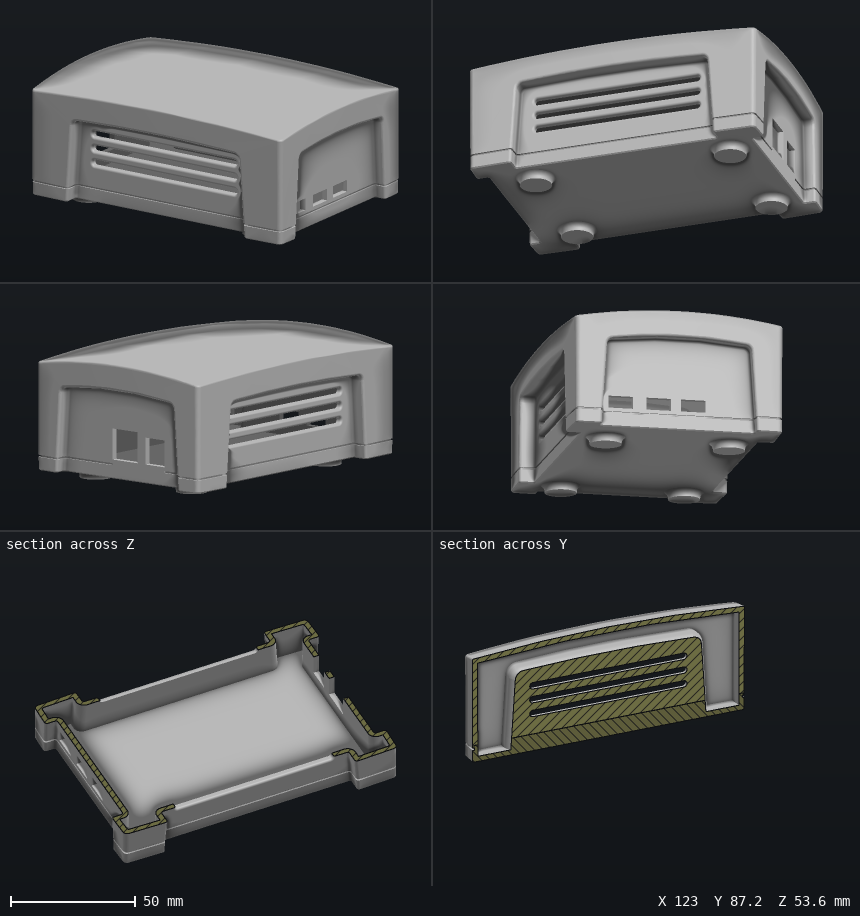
import cadquery as cq
import math

length = 123.0
width = 87.2
top_z = 50.5
wall = 2.5
side_bow_x = 0.7
side_bow_y = 1.0
wall_lean = 0.2
corner_radius = 1.8
least_corner_radius = 0.6
roof_drop_x = 2.7
roof_drop_y = 4.0
roof_edge_radius = 1.0
bottom_edge_radius = 0.5

rim_z = 5.4
seam_gap = 0.9
seam_z = rim_z + seam_gap
lip_height = 1.8
lip_setback = 0.7
floor_thickness = wall

long_panel_depth = 6.9
short_panel_depth = 5.4
panel_corner_radius = 2.7
panel_edge_radius = 1.1
panel_root_radius = 1.0
long_panel_bottom = 85.6
long_panel_top = 80.7
long_panel_mid_z = 35.9
long_panel_rise = 1.2
short_panel_bottom = 63.7
short_panel_top = 59.0
short_panel_mid_z = 37.1
short_panel_rise = 2.1

slot_length = 72.2
slot_outer = 4.7
slot_inner = 2.6
slot_pitch = 6.0
slot_count = 3
lowest_slot_z = 16.4

sill_z = 7.7
port_spans = [(-6.4, 6.6, 20.4), (-20.7, -10.7, 18.7)]
window_width = 10.1
window_top_z = 12.7
window_starts = [-28.2, -12.5, 1.7]

foot_height = 3.1
foot_diameter = 12.9
foot_flare_width = 1.6
foot_flare_height = 2.6
foot_xs = [-44.3, 38.1]
foot_ys = [-25.3, 25.3]

margin = 1.2
long_floor = width / 2 - wall_lean - long_panel_depth
short_floor = length / 2 - wall_lean - short_panel_depth


def drafted_block(inset, start_z):
    """Bowed rectangular block with leaning walls, moved in from the outer walls by inset."""
    lean_at_start = wall_lean * (1 - start_z / top_z)
    half_x = length / 2 - lean_at_start - inset
    half_y = width / 2 - lean_at_start - inset
    corner_x = half_x - side_bow_x
    corner_y = half_y - side_bow_y
    lean_angle = math.degrees(math.atan(wall_lean / top_z))
    outline = (
        cq.Sketch()
        .arc((-corner_x, -corner_y), (0, -half_y), (corner_x, -corner_y))
        .arc((corner_x, -corner_y), (half_x, 0), (corner_x, corner_y))
        .arc((corner_x, corner_y), (0, half_y), (-corner_x, corner_y))
        .arc((-corner_x, corner_y), (-half_x, 0), (-corner_x, -corner_y))
        .assemble()
        .vertices()
        .fillet(max(corner_radius - inset, least_corner_radius))
    )
    block = cq.Workplane("XY", origin=(0, 0, start_z)).placeSketch(outline)
    return block.extrude(top_z + margin - start_z, taper=-lean_angle)


def roof_barrel(peak_z):
    """Barrel whose upper surface is the domed roof, curved along both X and Y."""
    radius_x = ((length / 2) ** 2 + roof_drop_x ** 2) / (2 * roof_drop_x)
    axis_z = peak_z - radius_x
    edge_z = peak_z - roof_drop_y
    half_y = width / 2
    return (
        cq.Workplane("YZ")
        .moveTo(-half_y, axis_z)
        .lineTo(-half_y, edge_z)
        .threePointArc((0, peak_z), (half_y, edge_z))
        .lineTo(half_y, axis_z)
        .close()
        .revolve(360, (0, axis_z), (1, axis_z))
    )


def panel_cut(bottom, top, mid_z, rise, floor, depth, grow):
    """Cutter for a panel on the -Y side, enlarged all round by grow."""
    below = 6.1
    overshoot = 3.7
    slope = (bottom - top) / 2 / mid_z
    half_low = bottom / 2 + slope * below
    profile = (
        cq.Sketch()
        .segment((-half_low, -below), (half_low, -below))
        .segment((top / 2, mid_z - rise))
        .arc((0, mid_z), (-top / 2, mid_z - rise))
        .close()
        .assemble()
        .vertices(">Y")
        .fillet(panel_corner_radius + grow)
    )
    cutter = cq.Workplane("XZ", origin=(0, -floor + grow, 0)).placeSketch(profile)
    cutter = cutter.extrude(depth + overshoot + grow)
    return cutter.faces(">Y").edges().fillet(panel_root_radius + grow)


def panel_cuts(grow):
    """Cutters for the recessed panels of all four sides."""
    long_cut = panel_cut(
        long_panel_bottom + 2 * grow, long_panel_top + 2 * grow, long_panel_mid_z + grow,
        long_panel_rise, long_floor, long_panel_depth, grow,
    )
    short_cut = panel_cut(
        short_panel_bottom + 2 * grow, short_panel_top + 2 * grow, short_panel_mid_z + grow,
        short_panel_rise, short_floor, short_panel_depth, grow,
    )
    cuts = []
    for turn in (0, 180):
        cuts.append(long_cut.rotate((0, 0, 0), (0, 0, 1), turn))
        cuts.append(short_cut.rotate((0, 0, 0), (0, 0, 1), turn - 90))
    return cuts


def cut_panels(body, grow):
    """Recess the panels of all four sides into a body."""
    for cut in panel_cuts(grow):
        body = body.cut(cut)
    return body


def round_panel_edges(body):
    """Round the outer rim of all four recessed panels."""
    near_wall = 0.7
    clearance = 3.7
    long_near = long_floor + near_wall * long_panel_depth
    short_near = short_floor + near_wall * short_panel_depth
    reach_x = long_panel_bottom / 2 + clearance
    reach_y = short_panel_bottom / 2 + clearance
    high_z = short_panel_mid_z + clearance
    for side in (-1, 1):
        long_rim = cq.selectors.BoxSelector(
            (-reach_x, side * long_near, -margin), (reach_x, side * width, high_z)
        )
        body = body.edges(long_rim).fillet(panel_edge_radius)
        short_rim = cq.selectors.BoxSelector(
            (side * short_near, -reach_y, -margin), (side * length, reach_y, high_z)
        )
        body = body.edges(short_rim).fillet(panel_edge_radius)
    return body


def outer_shape():
    """Outside of the closed enclosure, without slots, openings or feet."""
    body = drafted_block(0, 0).intersect(roof_barrel(top_z))
    body = body.faces(">Z").edges().fillet(roof_edge_radius)
    body = round_panel_edges(cut_panels(body, 0))
    return body.faces("<Z").edges().chamfer(bottom_edge_radius)


def inner_shape(inset, start_z):
    """Inside of the enclosure, following the outside at the distance inset."""
    body = drafted_block(inset, start_z).intersect(roof_barrel(top_z - inset))
    return cut_panels(body, inset)


def slab(low_z, high_z):
    """Block larger than the enclosure in plan, between two heights."""
    return cq.Workplane("XY", origin=(0, 0, low_z)).rect(2 * length, 2 * width).extrude(high_z - low_z)


def wall_block(side, y_from, y_to, low_z, high_z):
    """Block through the wall of the -X panel (side = -1) or the +X panel (side = 1)."""
    inner_x = side * (short_floor - wall)
    block = cq.Workplane("XY").box(wall, y_to - y_from, high_z - low_z, centered=False)
    return block.translate((min(inner_x, inner_x + side * wall), y_from, low_z))


def cut_slots(cover, side):
    """Cut the ventilation slots, with rounded outer rims, in the -Y (side = -1) or +Y (side = 1) panel."""
    rim_radius = (slot_outer - slot_inner) / 2
    inner_length = slot_length - 2 * rim_radius
    centres = [(0, lowest_slot_z + index * slot_pitch) for index in range(slot_count)]
    slots = (
        cq.Workplane("XZ", origin=(0, side * long_floor, 0))
        .pushPoints(centres)
        .slot2D(inner_length, slot_inner)
        .extrude(wall + margin, both=True)
    )
    flatness = 0.1
    rims = cq.selectors.BoxSelector(
        (-slot_length / 2, side * long_floor - flatness, lowest_slot_z - slot_outer),
        (slot_length / 2, side * long_floor + flatness, lowest_slot_z + slot_count * slot_pitch),
    )
    return cover.cut(slots).edges(rims).fillet(rim_radius)


def lip_zone():
    """Block filled by the base lip and all that it encloses, reaching down into the rim."""
    return inner_shape(lip_setback, floor_thickness).intersect(slab(floor_thickness, rim_z + lip_height))


def make_cover(outer):
    """Hollow cover with the slots, connector openings and windows."""
    cover = outer.intersect(slab(seam_z, top_z + margin)).cut(inner_shape(wall, floor_thickness))
    cover = cover.cut(lip_zone())
    for side in (-1, 1):
        cover = cut_slots(cover, side)
    for y_from, y_to, port_top in port_spans:
        cover = cover.cut(wall_block(-1, y_from, y_to, 0, port_top))
    for y_from in window_starts:
        cover = cover.cut(wall_block(1, y_from, y_from + window_width, sill_z, window_top_z))
    return cover


def make_base(outer):
    """Tray with a lip that fits in the cover, sills below the connector openings, and feet."""
    rim = outer.intersect(slab(-margin, rim_z))
    tab_root = 1.2
    base = rim.union(lip_zone()).cut(inner_shape(wall, floor_thickness))
    for y_from, y_to, _ in port_spans:
        base = base.union(wall_block(-1, y_from, y_to, rim_z - tab_root, sill_z))
    pillar_from = port_spans[1][1]
    pillar_to = port_spans[0][0]
    base = base.union(wall_block(-1, pillar_from, pillar_to, rim_z - tab_root, seam_z))
    for foot_x in foot_xs:
        for foot_y in foot_ys:
            base = base.union(make_foot(foot_x, foot_y))
    return base


def make_foot(foot_x, foot_y):
    """Round foot that flares out to meet the bottom of the base."""
    radius = foot_diameter / 2
    return (
        cq.Workplane("XZ")
        .moveTo(0, 0)
        .lineTo(0, -foot_height)
        .lineTo(radius, -foot_height)
        .lineTo(radius, -foot_flare_height)
        .tangentArcPoint((radius + foot_flare_width, 0), relative=False)
        .close()
        .revolve(360, (0, 0), (0, 1))
        .translate((foot_x, foot_y, 0))
    )


outer = outer_shape()
cover = make_cover(outer)
base = make_base(outer)
result = cq.Compound.makeCompound([cover.solids().val(), base.solids().val()])